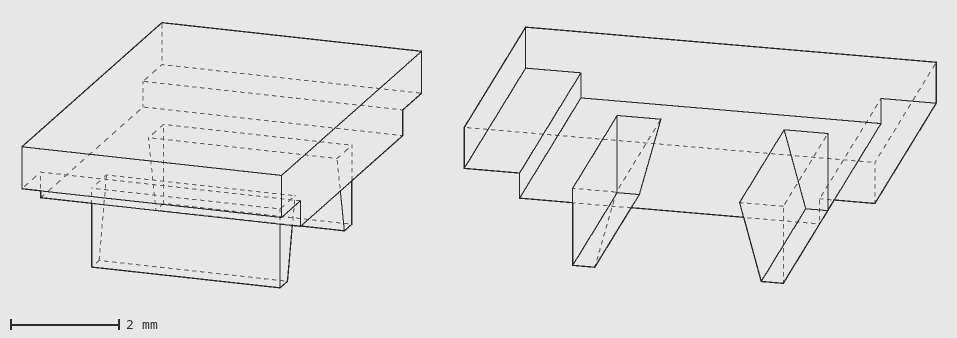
import cadquery as cq

plate_width = 5.1
plate_length = 7.8
plate_thickness = 0.82

step_length = 5.7
step_thickness = 0.5

overall_height = 2.86
leg_width = 3.7
leg_span = 4.0
leg_root_thickness = 0.83
leg_tip_thickness = 0.42

step_bottom = overall_height - plate_thickness - step_thickness
plate_bottom = overall_height - plate_thickness


def centred_block(length, thickness, bottom):
    """Block of full plate width, centred on the Z axis."""
    return (
        cq.Workplane("XY")
        .workplane(offset=bottom)
        .rect(plate_width, length)
        .extrude(thickness)
    )


def tapered_leg(side):
    """Leg at side * Y: upright outer face, inner face sloping to a thinner tip."""
    outer = leg_span / 2
    profile = [
        (side * outer, step_bottom),
        (side * outer, 0),
        (side * (outer - leg_tip_thickness), 0),
        (side * (outer - leg_root_thickness), step_bottom),
    ]
    return cq.Workplane("YZ").polyline(profile).close().extrude(leg_width / 2, both=True)


result = centred_block(plate_length, plate_thickness, plate_bottom)
result = result.union(centred_block(step_length, step_thickness, step_bottom))
for side in (-1, 1):
    result = result.union(tapered_leg(side))